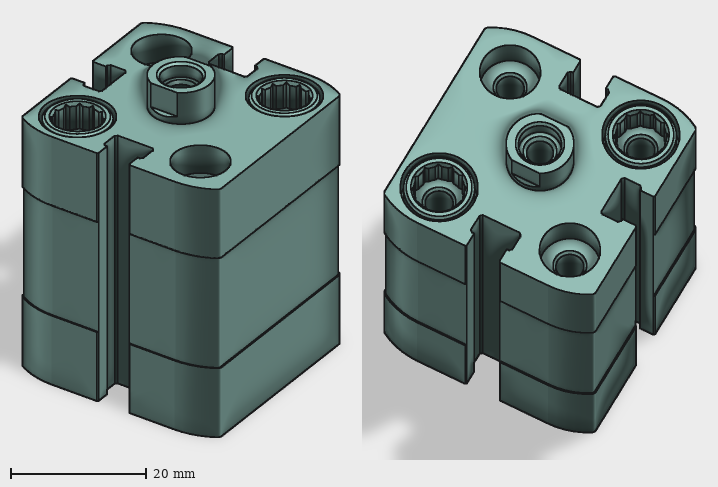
import cadquery as cq
import math

HOUSING_WIDTH = 35.5
TOTAL_HEIGHT = 48.85
ROD_PROJECTION = 5.45
HOUSING_HEIGHT = TOTAL_HEIGHT - ROD_PROJECTION
HALF_WIDTH = HOUSING_WIDTH / 2

HOLE_OFFSET = 11.0
CORNER_ARC_RADIUS = 12.45
CORNER_BLEND_RADIUS = 0.8
CAP_HEIGHT = 12.05
BARREL_INSET = 0.2

SLOT_NECK_WIDTH = 5.45
SLOT_MOUTH_CHAMFER = 0.2
SLOT_NECK_DEPTH = 2.45
SLOT_WIDTH = 6.95
SLOT_DEPTH = 5.75
SLOT_CORNER_CHAMFER = 0.35

BOLT_HOLE_DIAMETER = 4.15
BOLT_HOLE_MOUTH_DIAMETER = 5.0
COUNTERBORE_DEPTH = 4.9
COUNTERBORE_DIAMETER = 9.0
GROOVE_DIAMETER = 11.5
COLLAR_DIAMETER = 10.5
COLLAR_TOP_DIAMETER = 9.7
SOCKET_DEPTH = 4.65
SOCKET_ACROSS_FLATS = 6.95
SOCKET_BORE_DIAMETER = 7.5
SOCKET_MOUTH_DIAMETER = 8.35
SOCKET_MOUTH_DEPTH = 0.6
HEXAGON_TURN = 30.0

ROD_DIAMETER = 10.0
ROD_INSERTION = CAP_HEIGHT
ROD_ACROSS_FLATS = 8.85
ROD_FLAT_HEIGHT = 4.15
ROD_FLAT_RUNOUT_ANGLE = 30.0
ROD_BORE_DIAMETER = 6.4
ROD_BORE_MOUTH_DIAMETER = 7.25
ROD_BORE_DEPTH = 2.45
ROD_DRILL_DIAMETER = 3.95
ROD_DRILL_MOUTH_DIAMETER = 5.0
ROD_DRILL_DEPTH = 12.0
DRILL_POINT_ANGLE = 118.0


def cylinder(diameter, bottom, top):
    return cq.Workplane("XY").workplane(offset=bottom).circle(diameter / 2).extrude(top - bottom)


def cone(bottom_diameter, top_diameter, bottom, top):
    solid = cq.Solid.makeCone(bottom_diameter / 2, top_diameter / 2, top - bottom, pnt=(0, 0, bottom))
    return cq.Workplane(solid)


def countersink(mouth_diameter, bore_diameter, top):
    """45 degree cone that narrows downwards from the mouth to the bore."""
    return cone(bore_diameter, mouth_diameter, top - (mouth_diameter - bore_diameter) / 2, top)


def housing_blank():
    drop = CORNER_ARC_RADIUS - math.sqrt(CORNER_ARC_RADIUS**2 - (HALF_WIDTH - HOLE_OFFSET) ** 2)
    half_angle = math.asin((HALF_WIDTH - HOLE_OFFSET) / CORNER_ARC_RADIUS) / 2
    mid_x = HOLE_OFFSET + CORNER_ARC_RADIUS * math.sin(half_angle)
    mid_y = HALF_WIDTH - CORNER_ARC_RADIUS * (1 - math.cos(half_angle))
    side_y = HALF_WIDTH - drop
    return (
        cq.Workplane("XY")
        .moveTo(-HOLE_OFFSET, HALF_WIDTH)
        .lineTo(HOLE_OFFSET, HALF_WIDTH)
        .threePointArc((mid_x, mid_y), (HALF_WIDTH, side_y))
        .lineTo(HALF_WIDTH, -side_y)
        .threePointArc((mid_x, -mid_y), (HOLE_OFFSET, -HALF_WIDTH))
        .lineTo(-HOLE_OFFSET, -HALF_WIDTH)
        .threePointArc((-mid_x, -mid_y), (-HALF_WIDTH, -side_y))
        .lineTo(-HALF_WIDTH, side_y)
        .threePointArc((-mid_x, mid_y), (-HOLE_OFFSET, HALF_WIDTH))
        .close()
        .extrude(HOUSING_HEIGHT)
        .edges("|Z and (<X or >X)")
        .fillet(CORNER_BLEND_RADIUS)
    )


def barrel_relief(blank):
    """Ring around the barrel outline, removed between the two end caps."""
    barrel_height = HOUSING_HEIGHT - 2 * CAP_HEIGHT
    outline = cq.Workplane("XY").add(blank.faces("<Z").wires().vals()).toPending()
    inner = outline.offset2D(-BARREL_INSET).extrude(barrel_height).translate((0, 0, CAP_HEIGHT))
    slab = cq.Workplane("XY").workplane(offset=CAP_HEIGHT).rect(HOUSING_WIDTH, HOUSING_WIDTH)
    return slab.extrude(barrel_height).cut(inner)


def t_slot():
    """T-slot that opens on the +Y side, bevelled at its mouth and in the corners of its undercut."""
    neck = SLOT_NECK_WIDTH / 2
    half = SLOT_WIDTH / 2
    lip_y = HALF_WIDTH - SLOT_NECK_DEPTH
    floor_y = HALF_WIDTH - SLOT_DEPTH
    right = [
        (neck + SLOT_MOUTH_CHAMFER, HALF_WIDTH),
        (neck, HALF_WIDTH - SLOT_MOUTH_CHAMFER),
        (neck, lip_y),
        (half - SLOT_CORNER_CHAMFER, lip_y),
        (half, lip_y - SLOT_CORNER_CHAMFER),
        (half, floor_y + SLOT_CORNER_CHAMFER),
        (half - SLOT_CORNER_CHAMFER, floor_y),
    ]
    left = [(-x, y) for x, y in reversed(right)]
    return cq.Workplane("XY").polyline(right + left).close().extrude(HOUSING_HEIGHT)


def bolt_hole(floor):
    """Through hole with a countersunk mouth in the floor of the recess above it."""
    hole = cylinder(BOLT_HOLE_DIAMETER, 0, floor)
    return hole.union(countersink(BOLT_HOLE_MOUTH_DIAMETER, BOLT_HOLE_DIAMETER, floor))


def counterbored_hole():
    floor = HOUSING_HEIGHT - COUNTERBORE_DEPTH
    return bolt_hole(floor).union(cylinder(COUNTERBORE_DIAMETER, floor, HOUSING_HEIGHT))


def twelve_point_socket(floor):
    """Two crossed hexagons and a round bore that trims their inner corners, with a tapered mouth."""
    hexagon_diameter = SOCKET_ACROSS_FLATS / math.cos(math.pi / 6)
    hexagon = cq.Workplane("XY").workplane(offset=floor).polygon(6, hexagon_diameter).extrude(SOCKET_DEPTH)
    mouth_bottom = HOUSING_HEIGHT - SOCKET_MOUTH_DEPTH
    mouth = cone(SOCKET_BORE_DIAMETER, SOCKET_MOUTH_DIAMETER, mouth_bottom, HOUSING_HEIGHT)
    return (
        cylinder(SOCKET_BORE_DIAMETER, floor, HOUSING_HEIGHT)
        .union(hexagon)
        .union(hexagon.rotate((0, 0, 0), (0, 0, 1), HEXAGON_TURN))
        .union(mouth)
    )


def collar_groove(floor):
    """Ring groove around the socket collar, whose top edge is bevelled at 45 degrees."""
    bevel_bottom = HOUSING_HEIGHT - (COLLAR_DIAMETER - COLLAR_TOP_DIAMETER) / 2
    return (
        cylinder(GROOVE_DIAMETER, floor, HOUSING_HEIGHT)
        .cut(cylinder(COLLAR_DIAMETER, floor, bevel_bottom))
        .cut(cone(COLLAR_DIAMETER, COLLAR_TOP_DIAMETER, bevel_bottom, HOUSING_HEIGHT))
    )


def socket_hole():
    """Bolt hole below a socket; the groove around the socket collar is as deep as the socket."""
    floor = HOUSING_HEIGHT - SOCKET_DEPTH
    return bolt_hole(floor).union(twelve_point_socket(floor)).union(collar_groove(floor))


def make_housing():
    blank = housing_blank()
    body = blank.cut(barrel_relief(blank))
    slot = t_slot()
    for turn in (0, 90, 180):
        body = body.cut(slot.rotate((0, 0, 0), (0, 0, 1), turn))
    for side in (-1, 1):
        body = body.cut(counterbored_hole().translate((side * HOLE_OFFSET, -side * HOLE_OFFSET, 0)))
        body = body.cut(socket_hole().translate((side * HOLE_OFFSET, side * HOLE_OFFSET, 0)))
    return body.cut(cylinder(ROD_DIAMETER, HOUSING_HEIGHT - ROD_INSERTION, HOUSING_HEIGHT))


def wrench_flat():
    """Cutter for the flat on the -Y side; its lower end slopes outwards and down."""
    radius = ROD_DIAMETER / 2
    flat_y = -ROD_ACROSS_FLATS / 2
    flat_bottom = TOTAL_HEIGHT - ROD_FLAT_HEIGHT
    runout_drop = (radius + flat_y) * math.tan(math.radians(ROD_FLAT_RUNOUT_ANGLE))
    points = [
        (flat_y, TOTAL_HEIGHT),
        (flat_y, flat_bottom),
        (-radius, flat_bottom - runout_drop),
        (-radius, TOTAL_HEIGHT),
    ]
    return cq.Workplane("YZ").polyline(points).close().extrude(radius, both=True)


def rod_bore():
    """Stepped bore with a countersink on each step and a drill point at the bottom."""
    step = TOTAL_HEIGHT - ROD_BORE_DEPTH
    drill_bottom = TOTAL_HEIGHT - ROD_DRILL_DEPTH
    point_length = ROD_DRILL_DIAMETER / 2 / math.tan(math.radians(DRILL_POINT_ANGLE / 2))
    return (
        cylinder(ROD_BORE_DIAMETER, step, TOTAL_HEIGHT)
        .union(countersink(ROD_BORE_MOUTH_DIAMETER, ROD_BORE_DIAMETER, TOTAL_HEIGHT))
        .union(cylinder(ROD_DRILL_DIAMETER, drill_bottom, step))
        .union(countersink(ROD_DRILL_MOUTH_DIAMETER, ROD_DRILL_DIAMETER, step))
        .union(cone(0, ROD_DRILL_DIAMETER, drill_bottom - point_length, drill_bottom))
    )


def make_rod():
    rod = cylinder(ROD_DIAMETER, HOUSING_HEIGHT - ROD_INSERTION, TOTAL_HEIGHT)
    flat = wrench_flat()
    return rod.cut(flat).cut(flat.mirror("XZ")).cut(rod_bore())


housing = make_housing()
piston_rod = make_rod()
result = cq.Compound.makeCompound([housing.val(), piston_rod.val()])